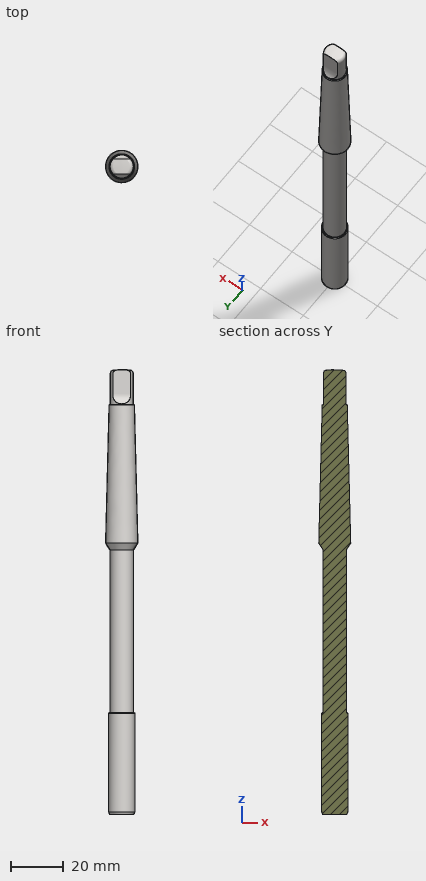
import cadquery as cq
import math

total_length = 168.0
head_length = 38.5
collar_top = 102.5
tang_length = 13.1
flat_length = 9.2

head_diameter = 10.0
neck_diameter = 8.9
gauge_diameter = 12.3
tang_diameter = 8.7
tang_thickness = 5.5

taper_ratio = 1 / 20
collar_cone_angle = 33.0
end_chamfer_height = 1.0
end_chamfer_depth = 0.5
head_shoulder_chamfer = 0.3
tang_shoulder_chamfer = 0.3
tang_edge_radius = 1.3
tang_crown = 0.3
run_out_radius = 5.0

head_radius = head_diameter / 2
neck_radius = neck_diameter / 2
gauge_radius = gauge_diameter / 2
tang_radius = tang_diameter / 2
shoulder_z = total_length - tang_length
cone_height = (gauge_radius - neck_radius) / math.tan(math.radians(collar_cone_angle))
taper_end_z = shoulder_z - tang_shoulder_chamfer
taper_end_radius = gauge_radius - (taper_end_z - collar_top) * taper_ratio / 2


def turned_body():
    """Revolve the head, neck, tapered shank and round tang about Z."""
    dome_radius = (tang_radius**2 + tang_crown**2) / (2 * tang_crown)
    dome_x = tang_radius / 2
    dome_middle = (dome_x, total_length - dome_radius + math.sqrt(dome_radius**2 - dome_x**2))
    profile = (
        cq.Workplane("XZ")
        .moveTo(0, 0)
        .lineTo(head_radius - end_chamfer_depth, 0)
        .lineTo(head_radius, end_chamfer_height)
        .lineTo(head_radius, head_length - head_shoulder_chamfer)
        .lineTo(head_radius - head_shoulder_chamfer, head_length)
        .lineTo(neck_radius, head_length)
        .lineTo(neck_radius, collar_top - cone_height)
        .lineTo(gauge_radius, collar_top)
        .lineTo(taper_end_radius, taper_end_z)
        .lineTo(taper_end_radius - tang_shoulder_chamfer, shoulder_z)
        .lineTo(tang_radius, shoulder_z)
        .lineTo(tang_radius, total_length - tang_crown)
        .threePointArc(dome_middle, (0, total_length))
        .close()
    )
    body = profile.revolve(360, (0, 0, 0), (0, 1, 0))
    rim_z = total_length - tang_crown
    half_gap = tang_crown / 4
    dome_rim = cq.selectors.BoxSelector(
        (-half_gap, -half_gap, rim_z - half_gap),
        (half_gap, half_gap, rim_z + half_gap),
    )
    return body.edges(dome_rim).fillet(tang_edge_radius)


def tang_flat_cutter():
    """Material beside the +Y flat, with a round run-out into the shank."""
    flat_y = tang_thickness / 2
    flat_end_z = total_length - flat_length
    outer_y = flat_y + run_out_radius
    arc_middle = (
        outer_y - run_out_radius * math.cos(math.pi / 4),
        flat_end_z - run_out_radius * math.sin(math.pi / 4),
    )
    return (
        cq.Workplane("YZ")
        .moveTo(flat_y, total_length)
        .lineTo(flat_y, flat_end_z)
        .threePointArc(arc_middle, (outer_y, flat_end_z - run_out_radius))
        .lineTo(outer_y, total_length)
        .close()
        .extrude(gauge_radius, both=True)
    )


flat_cutter = tang_flat_cutter()
result = turned_body().cut(flat_cutter).cut(flat_cutter.mirror("XZ"))